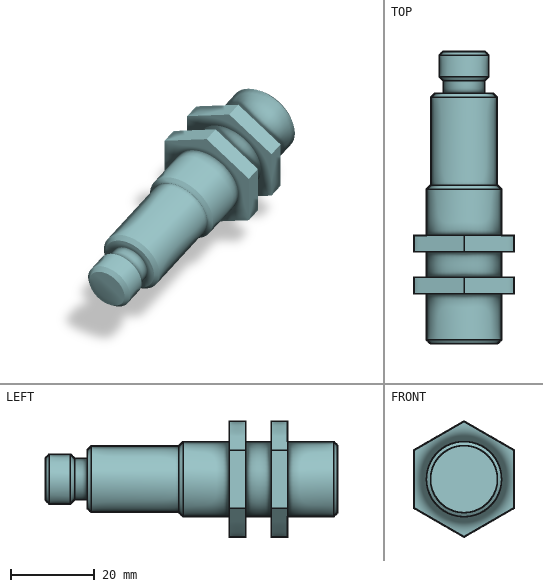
import cadquery as cq
import math

total_length = 70.0
chamfer = 1.0

body_diameter = 18.0
body_end = 38.0
sleeve_diameter = 15.9
sleeve_end = 60.0
neck_diameter = 10.0
neck_end = 63.0
plug_diameter = 12.0

nut_across_flats = 24.0
nut_thickness = 4.0
nut_starts = (12.0, 22.0)


def plane_at(y):
    """Plane facing +Y, with its local X axis along the part's Z axis."""
    return cq.Workplane(cq.Plane(origin=(0, y, 0), xDir=(0, 0, 1), normal=(0, 1, 0)))


def cylinder(diameter, start, end):
    return plane_at(start).circle(diameter / 2).extrude(end - start)


def lock_nut(start):
    """Hexagonal nut with corners pointing up and down."""
    across_corners = nut_across_flats / math.cos(math.pi / 6)
    return plane_at(start).polygon(6, across_corners).extrude(nut_thickness)


body = cylinder(body_diameter, 0, body_end).faces("<Y or >Y").chamfer(chamfer)
sleeve = cylinder(sleeve_diameter, body_end, sleeve_end).faces(">Y").chamfer(chamfer)
neck = cylinder(neck_diameter, sleeve_end, neck_end)
plug = cylinder(plug_diameter, neck_end, total_length).faces("<Y or >Y").chamfer(chamfer)

result = body.union(sleeve).union(neck).union(plug)
for nut_start in nut_starts:
    result = result.union(lock_nut(nut_start))